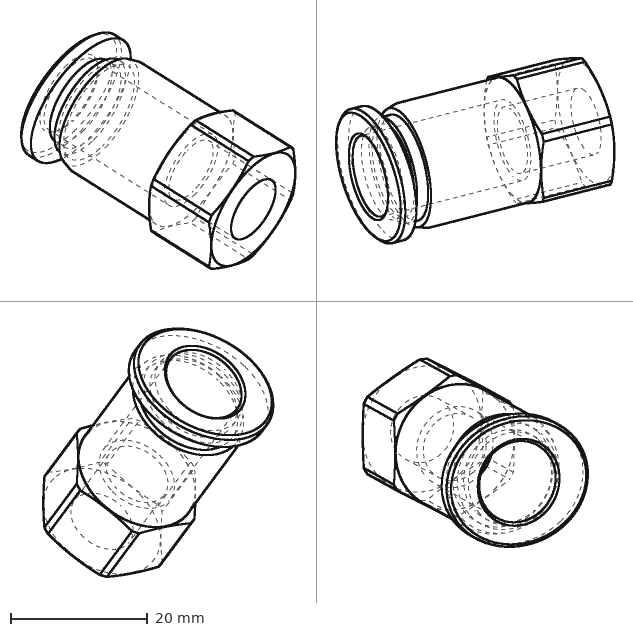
import cadquery as cq
import math

flange_end = 2.3
neck_end = 4.05
sleeve_end = 5.8
taper_end = 7.35
hex_start = 23.45
total_length = 35.4

flange_half_width = 11.25
flange_half_height = 9.77
flange_chamfer = 0.5
neck_radius = 7.0

sleeve_radius = 8.0
taper_radius = 8.95
body_radius = 9.4

across_flats = 19.0
corner_radius = 10.65
hex_chamfer_length = 0.42
hex_chamfer_depth = 1.2

tube_radius = 6.1
mouth_radius = 6.5
mouth_chamfer_length = 0.42
through_radius = 5.03
tube_depth = hex_start


def revolve_about_x(profile):
    """Turn a closed (x, radius) outline about the X axis."""
    return cq.Workplane("XY").polyline(profile).close().revolve(360, (0, 0, 0), (1, 0, 0))


def make_flange():
    flange = cq.Workplane("YZ").ellipse(flange_half_width, flange_half_height).extrude(flange_end)
    return flange.faces("<X").chamfer(flange_chamfer)


def make_round_body():
    return revolve_about_x([
        (flange_end, 0),
        (flange_end, neck_radius),
        (neck_end, neck_radius),
        (neck_end, sleeve_radius),
        (sleeve_end, sleeve_radius),
        (sleeve_end, taper_radius),
        (taper_end, body_radius),
        (hex_start, body_radius),
        (hex_start, 0),
    ])


def make_hex():
    """Hexagon with corners up and down, trimmed by a cylinder that is conical at both ends."""
    corner_to_corner = across_flats / math.cos(math.pi / 6)
    prism = (
        cq.Workplane("YZ", origin=(hex_start, 0, 0))
        .transformed(rotate=(0, 0, 90))
        .polygon(6, corner_to_corner)
        .extrude(total_length - hex_start)
    )
    end_radius = corner_radius - hex_chamfer_depth
    trim = revolve_about_x([
        (hex_start, 0),
        (hex_start, end_radius),
        (hex_start + hex_chamfer_length, corner_radius),
        (total_length - hex_chamfer_length, corner_radius),
        (total_length, end_radius),
        (total_length, 0),
    ])
    return prism.intersect(trim)


def make_bore():
    """Chamfered tube socket, stepping down to a hole that runs out of the far end."""
    return revolve_about_x([
        (0, 0),
        (0, mouth_radius),
        (mouth_chamfer_length, tube_radius),
        (tube_depth, tube_radius),
        (tube_depth, through_radius),
        (total_length, through_radius),
        (total_length, 0),
    ])


result = make_flange().union(make_round_body()).union(make_hex()).cut(make_bore())